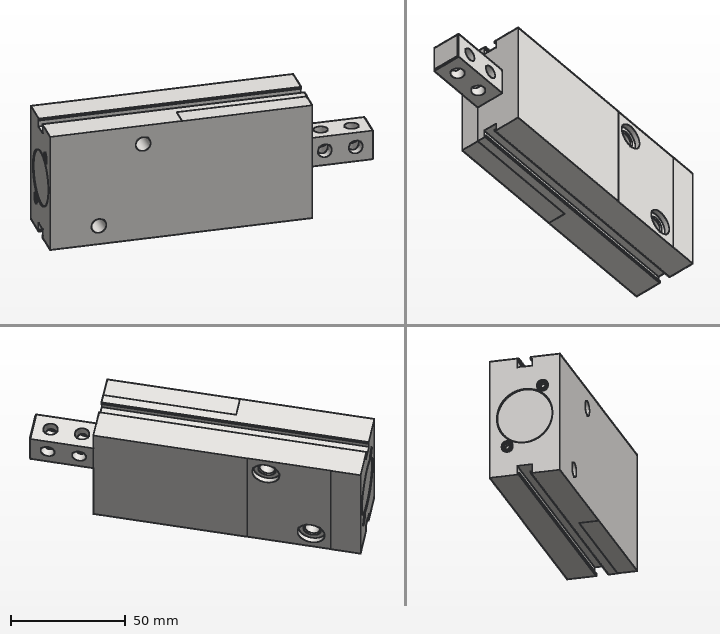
import cadquery as cq
import math

TOTAL_LENGTH = 148.5
WIDTH = 32.0
HEIGHT = 55.0
HOUSING_LENGTH = 118.5

FINGER_SIDE = 14.0
FINGER_LENGTH = TOTAL_LENGTH - HOUSING_LENGTH
FINGER_TIP_CHAMFER = 0.5
FINGER_HOLE_DIAMETER = 6.2
FINGER_HOLE_COUNT = 2
FINGER_HOLE_SPACING = 14.0
FINGER_HOLE_TIP_OFFSET = 8.0

RELIEF_DEPTH = 0.07
CORNER_INNER_X = FINGER_SIDE / 2
CORNER_WIDTH = WIDTH / 2 - CORNER_INNER_X
CORNER_REAR_Y = 59.5
BAND_REAR_Y = 13.2
BAND_FRONT_Y = 50.3

SLOT_MOUTH_WIDTH = 5.0
SLOT_MOUTH_CHAMFER = 0.3
SLOT_INNER_WIDTH = 6.8
SLOT_DEPTH = 4.2
SLOT_LIP = 0.9
FLARE_LENGTH = HOUSING_LENGTH + 4 * SLOT_MOUTH_CHAMFER

RECESS_DIAMETER = 25.0
RECESS_DEPTH = 0.5
RECESS_CHAMFER = 0.22

SCREW_X = 8.0
SCREW_Z = 13.5
SCREW_DIAMETER = 5.0
SCREW_END_DIAMETER = 4.2
SCREW_CHAMFER = (SCREW_DIAMETER - SCREW_END_DIAMETER) / 2
SCREW_LENGTH = 5.0
SOCKET_FLATS = 2.5
SOCKET_CORNERS = SOCKET_FLATS / math.cos(math.pi / 6)
SOCKET_CHAMFER = (SOCKET_CORNERS - SOCKET_FLATS) / 2
SOCKET_DEPTH = 2.2

MOUNT_Z = 18.5
MOUNT_REAR_Y = 22.0
MOUNT_SPACING_Y = 20.0
MOUNT_CENTRES = [(MOUNT_REAR_Y, -MOUNT_Z), (MOUNT_REAR_Y + MOUNT_SPACING_Y, MOUNT_Z)]
MOUNT_DIAMETER = 6.7
MOUNT_CHAMFER = 0.6
COUNTERBORE_DIAMETER = 12.0
COUNTERBORE_DEPTH = 2.5


def cylinder_along_x(diameter, x_start, length, y, z):
    """Cylinder that starts at x_start and runs toward +X."""
    return cq.Workplane("YZ", origin=(x_start, y, z)).circle(diameter / 2).extrude(length)


def cylinder_along_y(diameter, length, x=0, z=0):
    """Cylinder that starts at the rear face and runs toward +Y."""
    return cq.Workplane("XZ", origin=(x, 0, z)).circle(diameter / 2).extrude(-length)


def box_along_y(width, height, y_start, length, x=0, z=0):
    """Box centred on (x, z) that starts at y_start and runs toward +Y."""
    return cq.Workplane("XZ", origin=(x, y_start, z)).rect(width, height).extrude(-length)


def t_slot(side):
    """Full-length T-slot cutter with a chamfered mouth; side is +1 for the top, -1 for the bottom."""
    inner_height = SLOT_DEPTH - SLOT_LIP
    inner_z = side * (HEIGHT / 2 - SLOT_LIP - inner_height / 2)
    mouth_z = side * (HEIGHT / 2 - SLOT_DEPTH / 2)
    inner = box_along_y(SLOT_INNER_WIDTH, inner_height, 0, HOUSING_LENGTH, z=inner_z)
    mouth = box_along_y(SLOT_MOUTH_WIDTH, SLOT_DEPTH, 0, HOUSING_LENGTH, z=mouth_z)
    flare = (
        cq.Workplane("XY", origin=(0, HOUSING_LENGTH / 2, side * HEIGHT / 2))
        .rect(SLOT_MOUTH_WIDTH + 2 * SLOT_MOUTH_CHAMFER, FLARE_LENGTH)
        .extrude(-side * SLOT_MOUTH_CHAMFER, taper=45)
    )
    return inner.union(mouth).union(flare)


def mounting_hole(y, z):
    """Through hole, counterbored from the -X side, with a chamfer at the counterbore floor."""
    side_x = -WIDTH / 2
    floor_x = side_x + COUNTERBORE_DEPTH
    hole = cylinder_along_x(MOUNT_DIAMETER, side_x, WIDTH, y, z)
    counterbore = cylinder_along_x(COUNTERBORE_DIAMETER, side_x, COUNTERBORE_DEPTH, y, z)
    chamfer = (
        cq.Workplane("YZ", origin=(floor_x, y, z))
        .circle(MOUNT_DIAMETER / 2 + MOUNT_CHAMFER)
        .extrude(MOUNT_CHAMFER, taper=45)
    )
    return hole.union(counterbore).union(chamfer)


def corner_relief():
    """Thin skin taken off the front, top and bottom of the corner between the finger and the +X side."""
    x_centre = CORNER_INNER_X + CORNER_WIDTH / 2
    length = HOUSING_LENGTH - CORNER_REAR_Y
    corner = box_along_y(CORNER_WIDTH, HEIGHT, CORNER_REAR_Y, length, x_centre)
    kept_height = HEIGHT - 2 * RELIEF_DEPTH
    kept = box_along_y(CORNER_WIDTH, kept_height, CORNER_REAR_Y, length - RELIEF_DEPTH, x_centre)
    return corner.cut(kept)


def band_relief():
    """Thin skin taken off the -X side around the mounting holes, over the full height."""
    x_centre = -WIDTH / 2 + RELIEF_DEPTH / 2
    return box_along_y(RELIEF_DEPTH, HEIGHT, BAND_REAR_Y, BAND_FRONT_Y - BAND_REAR_Y, x_centre)


def screw_hole(side):
    return cylinder_along_y(SCREW_DIAMETER, SCREW_LENGTH, side * SCREW_X, side * SCREW_Z)


def rear_recess():
    """Shallow round recess with a chamfered mouth."""
    recess = cylinder_along_y(RECESS_DIAMETER, RECESS_DEPTH)
    mouth = (
        cq.Workplane("XZ")
        .circle(RECESS_DIAMETER / 2 + RECESS_CHAMFER)
        .extrude(-RECESS_CHAMFER, taper=45)
    )
    return recess.union(mouth)


def make_housing():
    body = box_along_y(WIDTH, HEIGHT, 0, HOUSING_LENGTH)
    body = body.cut(corner_relief()).cut(band_relief())
    body = body.cut(rear_recess())
    for side in (1, -1):
        body = body.cut(t_slot(side)).cut(screw_hole(side))
    for y, z in MOUNT_CENTRES:
        body = body.cut(mounting_hole(y, z))
    return body


def make_finger():
    """Square bar with crossing pairs of holes along X and along Z."""
    bar = box_along_y(FINGER_SIDE, FINGER_SIDE, HOUSING_LENGTH, FINGER_LENGTH)
    bar = bar.faces(">Y").chamfer(FINGER_TIP_CHAMFER)
    for index in range(FINGER_HOLE_COUNT):
        y = TOTAL_LENGTH - FINGER_HOLE_TIP_OFFSET - index * FINGER_HOLE_SPACING
        across = cylinder_along_x(FINGER_HOLE_DIAMETER, -FINGER_SIDE / 2, FINGER_SIDE, y, 0)
        upright = across.rotate((0, y, 0), (0, y + 1.5, 0), 90)
        bar = bar.cut(across).cut(upright)
    return bar


def make_set_screw(side):
    """Set screw with a chamfered outer end and a countersunk hexagon socket."""
    x = side * SCREW_X
    z = side * SCREW_Z
    end_plane = cq.Workplane("XZ", origin=(x, 0, z))
    screw = cylinder_along_y(SCREW_DIAMETER, SCREW_LENGTH, x, z)
    screw = screw.faces("<Y").chamfer(SCREW_CHAMFER)
    socket = end_plane.polygon(6, SOCKET_CORNERS).extrude(-SOCKET_DEPTH)
    countersink = end_plane.circle(SOCKET_CORNERS / 2).extrude(-SOCKET_CHAMFER, taper=45)
    return screw.cut(socket).cut(countersink)


housing = make_housing()
finger = make_finger()
set_screws = [make_set_screw(side) for side in (1, -1)]

result = cq.Compound.makeCompound(
    [housing.val(), finger.val(), *[screw.val() for screw in set_screws]]
)